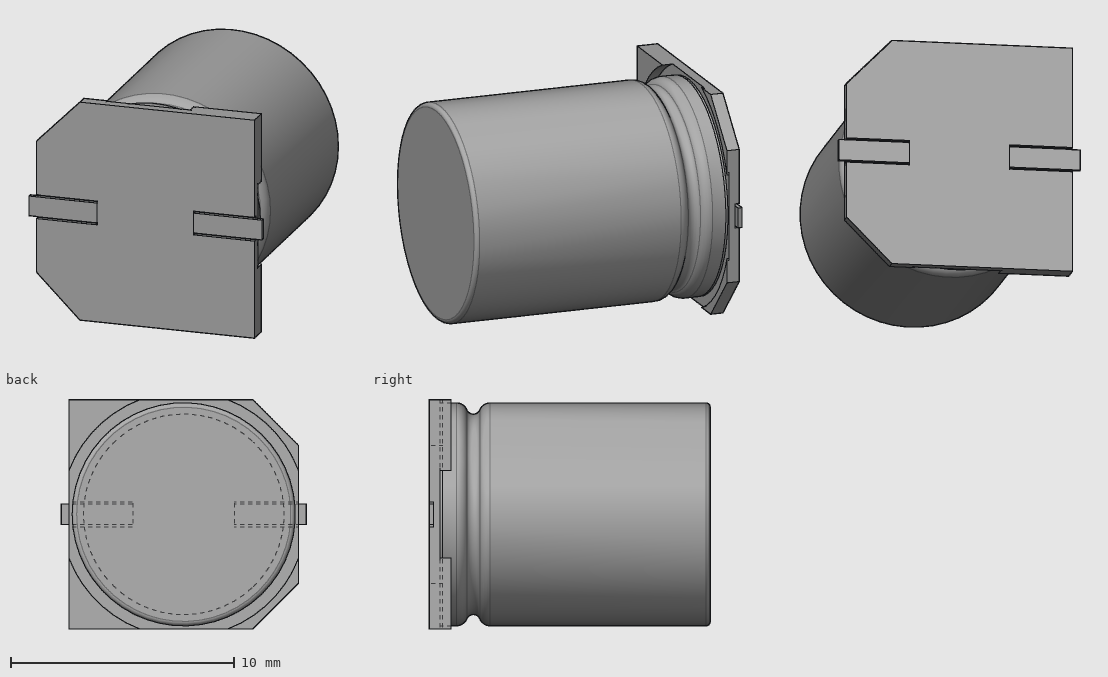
import cadquery as cq
import math

TOTAL_HEIGHT = 12.6

BASE_SIDE = 10.3
BASE_HALF = BASE_SIDE / 2
BASE_CHAMFER = 2.05
RIM_HEIGHT = 0.59
POST_HEIGHT = 0.98
RECESS_RADIUS = 5.5
RECESS_DEPTH = 0.1
RECESS_FLOOR = RIM_HEIGHT - RECESS_DEPTH
POST_INNER_X = math.sqrt(RECESS_RADIUS**2 - BASE_HALF**2)

LEAD_SPAN = 11.0
LEAD_INNER_X = 2.28
LEAD_LENGTH = LEAD_SPAN / 2 - LEAD_INNER_X
LEAD_WIDTH = 0.93
LEAD_THICKNESS = 0.2
SLOT_WIDTH = 1.12

CAN_RADIUS = 5.0
CAN_TOP_FILLET = 0.2
GROOVE_CENTER_Y = 1.98
GROOVE_HALF_WIDTH = 0.75
GROOVE_DEPTH = 0.5
GROOVE_SHOULDER_RADIUS = 0.5


def disc(radius, bottom, top):
    """Cylinder about the Y axis between two heights."""
    return cq.Workplane("XZ", origin=(0, bottom, 0)).circle(radius).extrude(bottom - top)


def block(x_start, length, width, height):
    """Block standing on the mounting face, centred in Z."""
    bar = cq.Workplane("XY").box(length, height, width, centered=(False, False, True))
    return bar.translate((x_start, 0, 0))


def lead_bar(side, width):
    """Flat bar on the given X side (-1 or +1), from the lead's inner end to its tip."""
    x_start = LEAD_INNER_X if side > 0 else -LEAD_SPAN / 2
    return block(x_start, LEAD_LENGTH, width, LEAD_THICKNESS)


def make_base():
    """Plate with two chamfered corners, two raised posts, a round recess and two lead slots."""
    plate = block(-BASE_HALF, BASE_SIDE, BASE_SIDE, RIM_HEIGHT)
    plate = plate.faces("<X").edges("|Y").chamfer(BASE_CHAMFER)
    posts = block(POST_INNER_X, BASE_HALF - POST_INNER_X, BASE_SIDE, POST_HEIGHT)
    base = plate.union(posts).cut(disc(RECESS_RADIUS, RECESS_FLOOR, POST_HEIGHT))
    for side in (-1, 1):
        base = base.cut(lead_bar(side, SLOT_WIDTH))
    return base


def make_seal():
    """Thin disc closing the can, resting on the recess floor."""
    return disc(CAN_RADIUS, RECESS_FLOOR, RIM_HEIGHT)


def make_can():
    """Can with a rounded top edge and a groove of three tangent arcs."""
    radius_sum = (GROOVE_HALF_WIDTH**2 + GROOVE_DEPTH**2) / (2 * GROOVE_DEPTH)
    meeting_angle = math.asin(GROOVE_HALF_WIDTH / radius_sum)
    shoulder_center_r = CAN_RADIUS - GROOVE_SHOULDER_RADIUS

    def shoulder_point(side, angle):
        """Point on a shoulder arc, at an angle turned from its outermost point toward the groove."""
        r = shoulder_center_r + GROOVE_SHOULDER_RADIUS * math.cos(angle)
        offset = GROOVE_HALF_WIDTH - GROOVE_SHOULDER_RADIUS * math.sin(angle)
        return (r, GROOVE_CENTER_Y + side * offset)

    profile = (
        cq.Workplane("XY")
        .moveTo(0, RIM_HEIGHT)
        .lineTo(CAN_RADIUS, RIM_HEIGHT)
        .lineTo(*shoulder_point(-1, 0))
        .threePointArc(shoulder_point(-1, meeting_angle / 2), shoulder_point(-1, meeting_angle))
        .threePointArc((CAN_RADIUS - GROOVE_DEPTH, GROOVE_CENTER_Y), shoulder_point(1, meeting_angle))
        .threePointArc(shoulder_point(1, meeting_angle / 2), shoulder_point(1, 0))
        .lineTo(CAN_RADIUS, TOTAL_HEIGHT)
        .lineTo(0, TOTAL_HEIGHT)
        .close()
    )
    can = profile.revolve(360, (0, 0, 0), (0, 1, 0))
    return can.faces(">Y").edges().fillet(CAN_TOP_FILLET)


base = make_base()
seal = make_seal()
can = make_can()
leads = [lead_bar(side, LEAD_WIDTH) for side in (-1, 1)]

bodies = [base, seal, can, *leads]
result = cq.Compound.makeCompound([body.solids().val() for body in bodies])